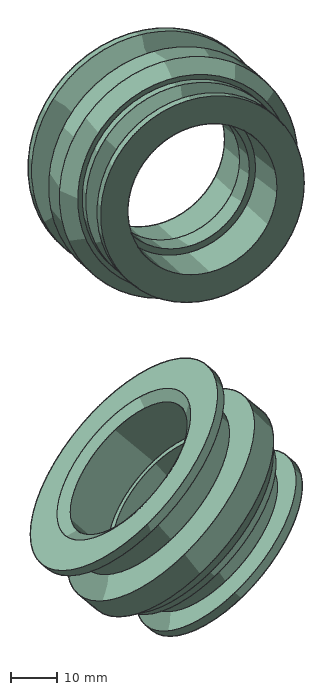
import cadquery as cq
import math

length = 30.95
rim_width = 2.0

large_radius = 28.0
large_groove_radius = 22.45
large_groove_opening = 9.6
shoulder_width = 6.05
shoulder_chamfer = 3.0

small_radius = 23.9
small_groove_radius = 19.8

groove_wall_angle = 20.0

lip_radius = 16.0
seat_radius = 17.5
large_seat_depth = 13.5
lip_width = 5.5
mouth_radius = 20.0
mouth_depth = 1.5

shoulder_start = rim_width + large_groove_opening
chamfer_start = shoulder_start + shoulder_width
small_end_start = chamfer_start + shoulder_chamfer


def groove_section(start, end, rim_radius, floor_radius):
    """Return the four outline points of a groove open between start and end."""
    wall_width = (rim_radius - floor_radius) * math.tan(math.radians(groove_wall_angle))
    return [
        (start, rim_radius),
        (start + wall_width, floor_radius),
        (end - wall_width, floor_radius),
        (end, rim_radius),
    ]


def revolve_about_x(section):
    """Turn a closed (x, radius) section into a solid around the X axis."""
    return cq.Workplane("XY").polyline(section).close().revolve(360, (0, 0, 0), (1, 0, 0))


outer_section = [
    (0, 0),
    (0, large_radius),
    *groove_section(rim_width, shoulder_start, large_radius, large_groove_radius),
    (chamfer_start, large_radius),
    (small_end_start, large_radius - shoulder_chamfer),
    (small_end_start, small_radius),
    *groove_section(
        small_end_start + rim_width,
        length - rim_width,
        small_radius,
        small_groove_radius,
    ),
    (length, small_radius),
    (length, 0),
]

lip_end = large_seat_depth + lip_width
bore_section = [
    (0, 0),
    (0, mouth_radius),
    (mouth_depth, seat_radius),
    (large_seat_depth, seat_radius),
    (large_seat_depth, lip_radius),
    (lip_end, lip_radius),
    (lip_end, seat_radius),
    (length, seat_radius),
    (length, 0),
]

result = revolve_about_x(outer_section).cut(revolve_about_x(bore_section))